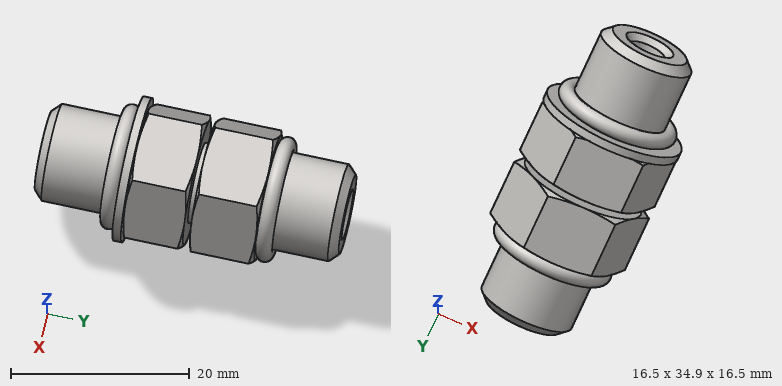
import cadquery as cq
import math

length = 34.85
end_diameter = 11.12
end_chamfer = 1.0
bore_diameter = 4.32
bore_mouth_diameter = 5.8
neck_diameter = 9.2

flange_diameter = 16.52
flange_thickness = 0.98
hex_across_flats = 14.3
hex_across_corners = hex_across_flats / math.cos(math.radians(30))
hex_chamfer_height = 0.4

ring_diameter = 14.3
ring_section = 1.85

front_end_length = 7.9
front_hex_length = 6.85
neck_length = 0.75
rear_hex_length = 7.4

ring_start = -length / 2 + front_end_length
flange_start = ring_start + ring_section
front_hex_start = flange_start + flange_thickness
neck_start = front_hex_start + front_hex_length
rear_hex_start = neck_start + neck_length
rear_hex_end = rear_hex_start + rear_hex_length


def revolve_about_y(points):
    """Revolve a closed (radius, y) outline about the Y axis."""
    return cq.Workplane("XY").polyline(points).close().revolve(360, (0, 0), (0, 1))


def cylinder(diameter, start, height):
    plane = cq.Workplane("XZ", origin=(0, start, 0))
    return plane.circle(diameter / 2).extrude(-height)


def chamfered_hex(start, height):
    """Hexagon with flats facing Z and a conical chamfer on both ends."""
    prism = cq.Workplane("XZ", origin=(0, start, 0)).polygon(6, hex_across_corners).extrude(-height)
    inner = hex_across_flats / 2
    outer = hex_across_corners / 2
    end = start + height
    envelope = revolve_about_y([
        (0, start),
        (inner, start),
        (outer, start + hex_chamfer_height),
        (outer, end - hex_chamfer_height),
        (inner, end),
        (0, end),
    ])
    return prism.intersect(envelope)


def sealing_ring(start):
    """O-ring whose lower side sits at the given station."""
    section_radius = ring_section / 2
    profile = cq.Workplane("XY").center(ring_diameter / 2 - section_radius, start + section_radius)
    axis_offset = section_radius - ring_diameter / 2
    return profile.circle(section_radius).revolve(360, (axis_offset, 0), (axis_offset, 1))


def end_stub(start, height, chamfered_face):
    return cylinder(end_diameter, start, height).faces(chamfered_face).chamfer(end_chamfer)


body = cylinder(neck_diameter, neck_start, neck_length)
body = body.union(end_stub(-length / 2, flange_start + length / 2, "<Y"))
body = body.union(end_stub(rear_hex_end, length / 2 - rear_hex_end, ">Y"))

body = body.union(cylinder(flange_diameter, flange_start, flange_thickness))
body = body.union(chamfered_hex(front_hex_start, front_hex_length))
body = body.union(chamfered_hex(rear_hex_start, rear_hex_length))

for start in (ring_start, rear_hex_end):
    body = body.union(sealing_ring(start))

body = body.cut(cylinder(bore_diameter, -length / 2, length))
countersink_depth = (bore_mouth_diameter - bore_diameter) / 2
for side in (-1, 1):
    mouth = side * length / 2
    body = body.cut(revolve_about_y([
        (0, mouth),
        (bore_mouth_diameter / 2, mouth),
        (bore_diameter / 2, mouth - side * countersink_depth),
        (0, mouth - side * countersink_depth),
    ]))

result = body